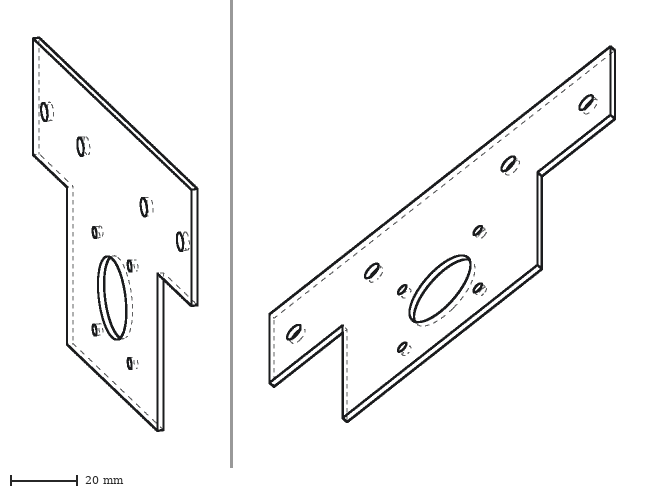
import cadquery as cq

thickness = 2.0
bar_width = 140.0
bar_height = 37.0
stem_width = 80.0
stem_height = 50.0
total_height = bar_height + stem_height

mount_hole_diameter = 5.5
mount_hole_drop = 20.0
inner_mount_offset = 28.0
outer_mount_offset = 60.0

motor_bore_diameter = 25.0
motor_centre_height = 28.5
motor_screw_spacing = 31.0
motor_screw_diameter = 3.4


def make_plate():
    """T-shaped plate in the XZ plane, bottom edge at Z = 0, centred in X and Y."""
    half_bar = bar_width / 2
    half_stem = stem_width / 2
    outline = [
        (-half_stem, 0),
        (half_stem, 0),
        (half_stem, stem_height),
        (half_bar, stem_height),
        (half_bar, total_height),
        (-half_bar, total_height),
        (-half_bar, stem_height),
        (-half_stem, stem_height),
    ]
    return cq.Workplane("XZ").polyline(outline).close().extrude(thickness / 2, both=True)


def hole_cutters(centres, diameter):
    """Cylinders along Y that pass right through the plate at (x, z) centres."""
    return cq.Workplane("XZ").pushPoints(centres).circle(diameter / 2).extrude(thickness, both=True)


mount_height = total_height - mount_hole_drop
mount_centres = [
    (side * offset, mount_height)
    for side in (-1, 1)
    for offset in (inner_mount_offset, outer_mount_offset)
]

half_spacing = motor_screw_spacing / 2
screw_centres = [
    (side * half_spacing, motor_centre_height + level * half_spacing)
    for side in (-1, 1)
    for level in (-1, 1)
]

result = (
    make_plate()
    .cut(hole_cutters(mount_centres, mount_hole_diameter))
    .cut(hole_cutters([(0, motor_centre_height)], motor_bore_diameter))
    .cut(hole_cutters(screw_centres, motor_screw_diameter))
)